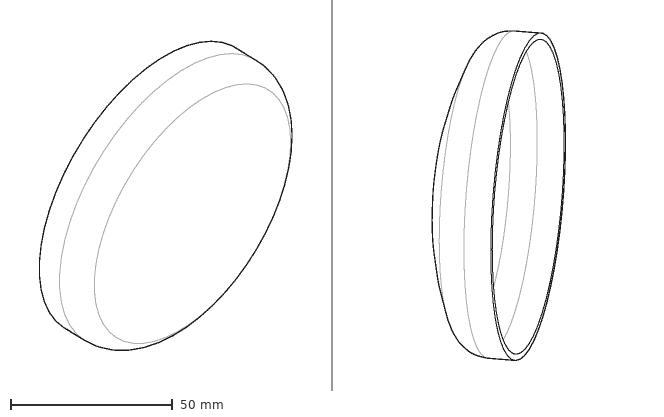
import cadquery as cq
import math

outer_diameter = 101.6
inner_diameter = 97.6
total_depth = 27.7
skirt_length = 8.5
knuckle_radius = 10.2

outer_radius = outer_diameter / 2
wall = (outer_diameter - inner_diameter) / 2
dish_depth = total_depth - skirt_length
knuckle_center_radius = outer_radius - knuckle_radius

crown_radius = (knuckle_center_radius**2 + dish_depth**2 - knuckle_radius**2) / (
    2 * (dish_depth - knuckle_radius)
)
crown_center_x = total_depth - crown_radius
tangent_angle = math.asin(knuckle_center_radius / (crown_radius - knuckle_radius))


def knuckle_point(radius, angle):
    """Point on a knuckle arc, with the angle measured from the X axis."""
    return (
        skirt_length + radius * math.cos(angle),
        knuckle_center_radius + radius * math.sin(angle),
    )


def crown_point(radius, angle):
    """Point on a crown arc, with the angle measured from the X axis."""
    return (crown_center_x + radius * math.cos(angle), radius * math.sin(angle))


inner_knuckle_radius = knuckle_radius - wall
inner_crown_radius = crown_radius - wall
knuckle_middle_angle = (math.pi / 2 + tangent_angle) / 2
crown_middle_angle = tangent_angle / 2

half_section = (
    cq.Workplane("XY")
    .moveTo(0, outer_radius)
    .lineTo(skirt_length, outer_radius)
    .threePointArc(
        knuckle_point(knuckle_radius, knuckle_middle_angle),
        knuckle_point(knuckle_radius, tangent_angle),
    )
    .threePointArc(crown_point(crown_radius, crown_middle_angle), (total_depth, 0))
    .lineTo(total_depth - wall, 0)
    .threePointArc(
        crown_point(inner_crown_radius, crown_middle_angle),
        knuckle_point(inner_knuckle_radius, tangent_angle),
    )
    .threePointArc(
        knuckle_point(inner_knuckle_radius, knuckle_middle_angle),
        (skirt_length, outer_radius - wall),
    )
    .lineTo(0, outer_radius - wall)
    .close()
)

result = half_section.revolve(360, (0, 0, 0), (1, 0, 0))